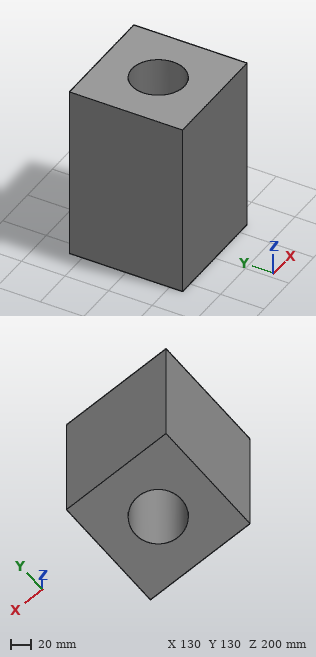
import cadquery as cq

side = 130.0
height = 200.0
bore_diameter = 60.0

block = cq.Workplane("XY").box(side, side, height)

result = block.faces(">Z").workplane().hole(bore_diameter)